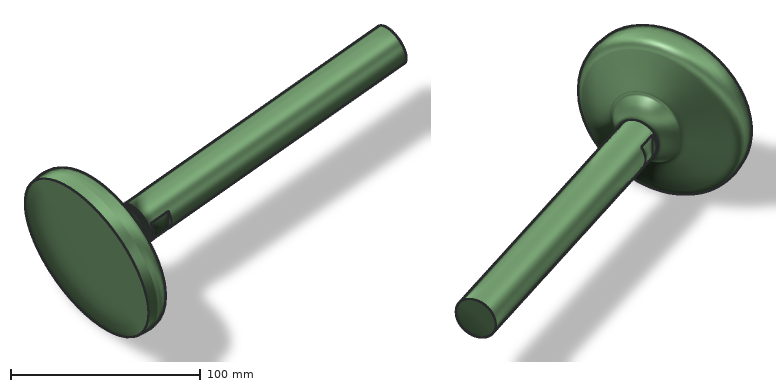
import cadquery as cq
import math

total_length = 215.0

sole_radius = 49.2
rim_radius = 49.99
rim_level = 6.0
shoulder_radius = 49.7
shoulder_level = 9.2
cone_outer_radius = 44.0
cone_outer_level = 16.1
cone_inner_radius = 22.8
cone_inner_level = 23.9

dome_radius = 25.2
dome_centre_level = 10.8
dome_foot_level = 25.4

rod_radius = 12.0
rod_start = 35.0
across_flats = 19.0
flat_start = 37.0
flat_end = 49.2

underside = -total_length / 2


def profile_point(radius, level):
    return radius, underside + level


def dome_point(level):
    radius = math.sqrt(dome_radius**2 - (level - dome_centre_level) ** 2)
    return profile_point(radius, level)


def make_base():
    dome_middle_level = (rod_start + dome_foot_level) / 2
    return (
        cq.Workplane("XY")
        .moveTo(*profile_point(0, rod_start))
        .lineTo(*dome_point(rod_start))
        .threePointArc(dome_point(dome_middle_level), dome_point(dome_foot_level))
        .tangentArcPoint(profile_point(cone_inner_radius, cone_inner_level), relative=False)
        .lineTo(*profile_point(cone_outer_radius, cone_outer_level))
        .tangentArcPoint(profile_point(shoulder_radius, shoulder_level), relative=False)
        .lineTo(*profile_point(rim_radius, rim_level))
        .lineTo(*profile_point(sole_radius, 0))
        .lineTo(*profile_point(0, 0))
        .close()
        .revolve(360, (0, 0, 0), (0, 1, 0))
    )


def make_rod():
    rod = (
        cq.Workplane("XZ", origin=(0, underside + rod_start, 0))
        .circle(rod_radius)
        .extrude(-(total_length - rod_start))
    )
    flat_depth = rod_radius - across_flats / 2
    flat_middle = underside + (flat_start + flat_end) / 2
    for side in (-1, 1):
        cutter = cq.Workplane("XY").box(flat_depth, flat_end - flat_start, 2 * rod_radius)
        cutter_x = side * (across_flats + flat_depth) / 2
        rod = rod.cut(cutter.translate((cutter_x, flat_middle, 0)))
    return rod


result = make_base().union(make_rod())